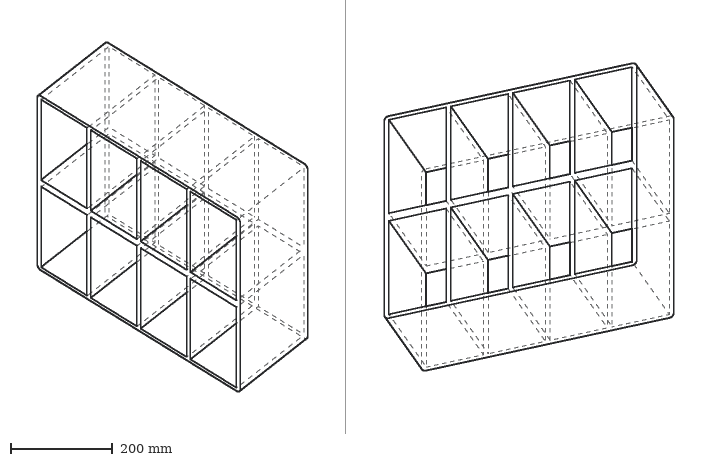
import cadquery as cq

width = 532.0
depth = 200.0
height = 476.0
corner_radius = 10.0

side_thickness = 10.0
divider_thickness = 10.0
top_thickness = 9.0
shelf_thickness = 18.0

columns = 4
rows = 2
opening_width = (width - 2 * side_thickness - (columns - 1) * divider_thickness) / columns
opening_height = (height - 2 * top_thickness - (rows - 1) * shelf_thickness) / rows
column_pitch = opening_width + divider_thickness
row_pitch = opening_height + shelf_thickness

body = cq.Workplane("XY").box(width, depth, height).edges("|Y").fillet(corner_radius)

compartments = (
    cq.Workplane("XZ")
    .rarray(column_pitch, row_pitch, columns, rows)
    .rect(opening_width, opening_height)
    .extrude(depth / 2, both=True)
)

result = body.cut(compartments)